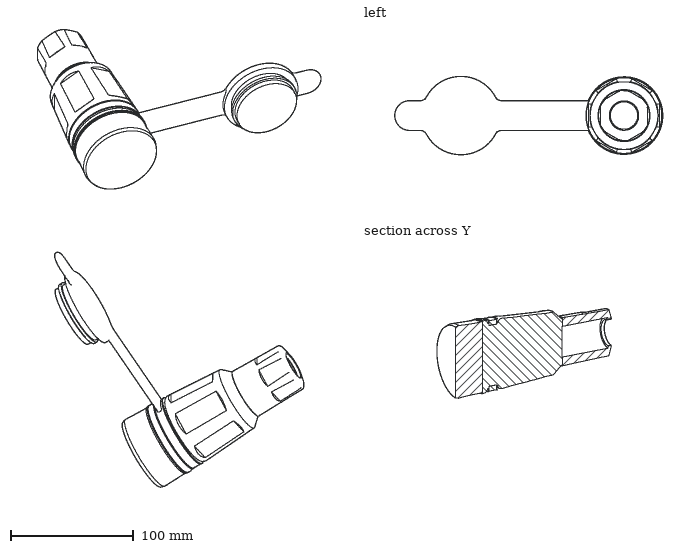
import cadquery as cq
import math


NUT_END_X = 46.4
HOUSING_SHOULDER_X = 54.7
REAR_BEAD_X = 102.8
GROOVE_START_X = 107.0
GROOVE_END_X = 115.7
HOUSING_END_X = 121.0
PLUG_END_X = 146.3

NUT_REAR_RADIUS = 20.3
NUT_FRONT_RADIUS = 21.2
NUT_DOME_LENGTH = 2.5
NUT_DOME_FILLET = 1.3
MOUTH_RADIUS = 12.0
BORE_LIP_RADIUS = 11.2
BORE_CHAMFER_LENGTH = 0.5
BORE_LIP_END_X = 3.5
BORE_RADIUS = 13.1
NUT_FLAT_DISTANCE = 19.2
NUT_FLAT_END_X = 23.5
NUT_FLAT_WALL_SLOPE = 0.7

HOUSING_REAR_RADIUS = 20.1
HOUSING_SHOULDER_RADIUS = 27.5
REAR_BEAD_RADIUS = 30.8
FRONT_BEAD_RADIUS = 31.7
FRONT_BEAD_FILLET = 4.0
LIP_RADIUS = 31.0
LIP_WIDTH = 0.9
GRIP_FLAT_START_X = 61.7
GRIP_FLAT_END_X = 100.0
GRIP_FLAT_DEPTH = 1.5
FLAT_COUNT = 6

SLEEVE_RADIUS = 31.7
SLEEVE_EDGE_X = 121.5
SLEEVE_WAIST_RADIUS = 31.0
SLEEVE_WAIST_X = 122.9
SLEEVE_RIM_X = 143.2
SLEEVE_END_RADIUS = 30.8

STRAP_THICKNESS = 4.0
STRAP_WIDTH = 24.5
STRAP_EDGE_FILLET = 1.95
BAND_RADIUS = 30.8
STRAP_ROOT_OVERLAP = 0.7
CAP_Y = 133.0
CAP_RADIUS = 64.0 / 2
CAP_FLANGE_DEPTH = 5.2
CAP_PLUG_RADIUS = 26.0
CAP_PLUG_LENGTH = 13.1
TAB_OFFSET = 41.8
NECK_FILLET = 5.7

SEAL_RADIUS = 28.0
SEAL_WIDTH = 2.6
SEAL_OFFSET = 6.0

NECK_RADIUS = REAR_BEAD_RADIUS - (GROOVE_START_X - REAR_BEAD_X)
BAND_WIDTH = GROOVE_END_X - GROOVE_START_X - 2 * LIP_WIDTH
STRAP_MID_X = (GROOVE_START_X + GROOVE_END_X) / 2
FLANGE_FACE_X = STRAP_MID_X + CAP_FLANGE_DEPTH
TAPER_SLOPE = (REAR_BEAD_RADIUS - HOUSING_SHOULDER_RADIUS) / (REAR_BEAD_X - HOUSING_SHOULDER_X)
CUT_CLEARANCE = 6.5
ARC_MID = math.sqrt(0.5)


def revolve_about_x(profile):
    """Full turn of a closed (x, radius) profile about the X axis."""
    return profile.close().revolve(360, (0, 0, 0), (1, 0, 0))


def x_cylinder(start_x, length, radius, center_y=0.0):
    return cq.Workplane("YZ", origin=(start_x, center_y, 0)).circle(radius).extrude(length)


def cut_flats(body, outline):
    """Cut six flats; outline is the removed (x, distance from axis) area of one flat."""
    span = 2 * REAR_BEAD_RADIUS
    cutter = cq.Workplane("XY").polyline(outline).close().extrude(span / 2, both=True)
    for index in range(FLAT_COUNT):
        body = body.cut(cutter.rotate((0, 0, 0), (1, 0, 0), index * 360 / FLAT_COUNT))
    return body


def make_gland_nut():
    nut = revolve_about_x(
        cq.Workplane("XY")
        .moveTo(0, 0)
        .lineTo(0, MOUTH_RADIUS)
        .lineTo(NUT_DOME_LENGTH, NUT_REAR_RADIUS)
        .lineTo(NUT_END_X, NUT_FRONT_RADIUS)
        .lineTo(NUT_END_X, 0)
    )
    top = NUT_FLAT_DISTANCE + CUT_CLEARANCE
    nut = cut_flats(nut, [
        (-CUT_CLEARANCE, NUT_FLAT_DISTANCE),
        (NUT_FLAT_END_X, NUT_FLAT_DISTANCE),
        (NUT_FLAT_END_X + CUT_CLEARANCE * NUT_FLAT_WALL_SLOPE, top),
        (-CUT_CLEARANCE, top),
    ])
    nut = nut.faces("%CONE").faces("<X").edges("not(<X)").fillet(NUT_DOME_FILLET)
    bore = revolve_about_x(
        cq.Workplane("XY")
        .moveTo(0, 0)
        .lineTo(0, MOUTH_RADIUS)
        .lineTo(BORE_CHAMFER_LENGTH, BORE_LIP_RADIUS)
        .lineTo(BORE_LIP_END_X, BORE_LIP_RADIUS)
        .lineTo(BORE_LIP_END_X, BORE_RADIUS)
        .lineTo(NUT_END_X, BORE_RADIUS)
        .lineTo(NUT_END_X, 0)
    )
    return nut.cut(bore)


def make_housing():
    rear_fillet = GROOVE_START_X - REAR_BEAD_X
    front_top_x = GROOVE_END_X + FRONT_BEAD_FILLET
    front_low_radius = FRONT_BEAD_RADIUS - FRONT_BEAD_FILLET
    housing = revolve_about_x(
        cq.Workplane("XY")
        .moveTo(NUT_END_X, 0)
        .lineTo(NUT_END_X, HOUSING_REAR_RADIUS)
        .lineTo(HOUSING_SHOULDER_X, HOUSING_SHOULDER_RADIUS)
        .lineTo(REAR_BEAD_X, REAR_BEAD_RADIUS)
        .threePointArc(
            (REAR_BEAD_X + rear_fillet * ARC_MID, NECK_RADIUS + rear_fillet * ARC_MID),
            (GROOVE_START_X, NECK_RADIUS),
        )
        .lineTo(GROOVE_START_X, LIP_RADIUS)
        .lineTo(GROOVE_START_X + LIP_WIDTH, LIP_RADIUS)
        .lineTo(GROOVE_START_X + LIP_WIDTH, NECK_RADIUS)
        .lineTo(GROOVE_END_X - LIP_WIDTH, NECK_RADIUS)
        .lineTo(GROOVE_END_X - LIP_WIDTH, LIP_RADIUS)
        .lineTo(GROOVE_END_X, LIP_RADIUS)
        .lineTo(GROOVE_END_X, front_low_radius)
        .threePointArc(
            (front_top_x - FRONT_BEAD_FILLET * ARC_MID, front_low_radius + FRONT_BEAD_FILLET * ARC_MID),
            (front_top_x, FRONT_BEAD_RADIUS),
        )
        .lineTo(HOUSING_END_X, FRONT_BEAD_RADIUS)
        .lineTo(HOUSING_END_X, 0)
    )

    def flat_distance(x):
        return HOUSING_SHOULDER_RADIUS + TAPER_SLOPE * (x - HOUSING_SHOULDER_X) - GRIP_FLAT_DEPTH

    start_distance = flat_distance(GRIP_FLAT_START_X)
    end_distance = flat_distance(GRIP_FLAT_END_X)
    return cut_flats(housing, [
        (GRIP_FLAT_START_X, start_distance),
        (GRIP_FLAT_END_X, end_distance),
        (GRIP_FLAT_END_X + CUT_CLEARANCE, end_distance + CUT_CLEARANCE),
        (GRIP_FLAT_START_X - CUT_CLEARANCE, start_distance + CUT_CLEARANCE),
    ])


def make_sleeve():
    return revolve_about_x(
        cq.Workplane("XY")
        .moveTo(HOUSING_END_X, 0)
        .lineTo(HOUSING_END_X, SLEEVE_WAIST_RADIUS)
        .lineTo(SLEEVE_EDGE_X, SLEEVE_WAIST_RADIUS)
        .lineTo(SLEEVE_EDGE_X, SLEEVE_RADIUS)
        .lineTo(SLEEVE_WAIST_X, SLEEVE_WAIST_RADIUS)
        .lineTo(SLEEVE_RIM_X, SLEEVE_RADIUS)
        .lineTo(PLUG_END_X, SLEEVE_END_RADIUS)
        .lineTo(PLUG_END_X, 0)
    )


def make_strap_plate():
    """Flat strap whose outline swells to the cap disc and ends in a round tab."""
    half = STRAP_WIDTH / 2
    root_y = NECK_RADIUS + STRAP_ROOT_OVERLAP
    reach = CAP_RADIUS + NECK_FILLET
    neck_z = half + NECK_FILLET
    neck_dy = math.sqrt(reach**2 - neck_z**2)
    touch_dy = neck_dy * CAP_RADIUS / reach
    touch_z = neck_z * CAP_RADIUS / reach
    tab_y = CAP_Y + TAB_OFFSET
    plate = (
        cq.Workplane("YZ", origin=(STRAP_MID_X - STRAP_THICKNESS / 2, 0, 0))
        .moveTo(root_y, half)
        .lineTo(CAP_Y - neck_dy, half)
        .radiusArc((CAP_Y - touch_dy, touch_z), -NECK_FILLET)
        .threePointArc((CAP_Y, CAP_RADIUS), (CAP_Y + touch_dy, touch_z))
        .radiusArc((CAP_Y + neck_dy, half), -NECK_FILLET)
        .lineTo(tab_y, half)
        .threePointArc((tab_y + half, 0), (tab_y, -half))
        .lineTo(CAP_Y + neck_dy, -half)
        .radiusArc((CAP_Y + touch_dy, -touch_z), -NECK_FILLET)
        .threePointArc((CAP_Y, -CAP_RADIUS), (CAP_Y - touch_dy, -touch_z))
        .radiusArc((CAP_Y - neck_dy, -half), -NECK_FILLET)
        .lineTo(root_y, -half)
        .close()
        .extrude(STRAP_THICKNESS)
    )
    return plate.faces("<X or >X").edges("not(<Y)").fillet(STRAP_EDGE_FILLET)


def make_strap_cap():
    band = x_cylinder(STRAP_MID_X - BAND_WIDTH / 2, BAND_WIDTH, BAND_RADIUS)
    band = band.cut(x_cylinder(STRAP_MID_X - BAND_WIDTH / 2, BAND_WIDTH, NECK_RADIUS))
    flange = x_cylinder(STRAP_MID_X, CAP_FLANGE_DEPTH, CAP_RADIUS, CAP_Y)
    plug = x_cylinder(FLANGE_FACE_X, CAP_PLUG_LENGTH, CAP_PLUG_RADIUS, CAP_Y)
    return make_strap_plate().union(band).union(flange).union(plug)


def make_seal_ring():
    seal_x = FLANGE_FACE_X + SEAL_OFFSET
    ring = x_cylinder(seal_x, SEAL_WIDTH, SEAL_RADIUS, CAP_Y)
    return ring.cut(x_cylinder(seal_x, SEAL_WIDTH, CAP_PLUG_RADIUS, CAP_Y))


gland_nut = make_gland_nut()
housing = make_housing()
sleeve = make_sleeve()
strap_cap = make_strap_cap()
seal_ring = make_seal_ring()

result = cq.Compound.makeCompound([
    gland_nut.val(),
    housing.val(),
    sleeve.val(),
    strap_cap.val(),
    seal_ring.val(),
])